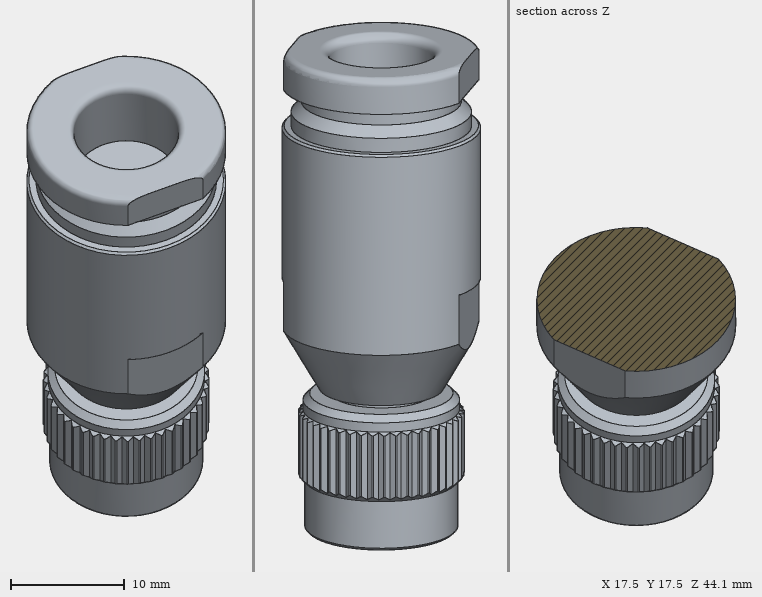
import cadquery as cq
import math

TOTAL_LENGTH = 44.05
SLEEVE_TOP = 4.55
KNURL_TOP = 11.0
COLLAR_TOP = 12.45
CONE_BOTTOM = 13.0
CONE_TOP = 18.65
BODY_FLATS_TOP = 23.15
BODY_TOP = 37.1
STEP_TOP = 38.4
STEP_CONE_TOP = 39.35
CAP_BOTTOM = 40.85

SLEEVE_RADIUS = 6.75
KNURL_RADIUS = 7.3
COLLAR_RADIUS = 6.9
LOWER_NECK_RADIUS = 4.4
BODY_RADIUS = 8.75
STEP_RADIUS = 7.95
UPPER_NECK_RADIUS = 7.05

SLEEVE_CHAMFER = 0.25
COLLAR_CHAMFER = 0.6
BODY_CHAMFER = 0.2
CAP_FILLET = 0.7

CONE_ANGLE = math.radians(30)

ACROSS_FLATS = 15.9

ENTRY_RADIUS = 4.6
ENTRY_FILLET = 0.8
ENTRY_FLOOR = BODY_TOP

KNURL_COUNT = 44
KNURL_DEPTH = 0.33
KNURL_HALF_ANGLE = math.radians(55)
KNURL_SHOULDER_HEIGHT = 0.25


def turned_body():
    """Revolve the complete outer profile around Z."""
    knurl_chamfer = KNURL_RADIUS - SLEEVE_RADIUS
    cone_end_radius = BODY_RADIUS - (CONE_TOP - CONE_BOTTOM) * math.tan(CONE_ANGLE)
    fillet_offset = CAP_FILLET * math.sin(math.radians(45))
    fillet_middle = (
        BODY_RADIUS - CAP_FILLET + fillet_offset,
        TOTAL_LENGTH - CAP_FILLET + fillet_offset,
    )
    profile = (
        cq.Workplane("XZ")
        .lineTo(SLEEVE_RADIUS - SLEEVE_CHAMFER, 0)
        .lineTo(SLEEVE_RADIUS, SLEEVE_CHAMFER)
        .lineTo(SLEEVE_RADIUS, SLEEVE_TOP)
        .lineTo(KNURL_RADIUS, SLEEVE_TOP + knurl_chamfer)
        .lineTo(KNURL_RADIUS, KNURL_TOP - KNURL_SHOULDER_HEIGHT)
        .lineTo(COLLAR_RADIUS, KNURL_TOP)
        .lineTo(COLLAR_RADIUS, COLLAR_TOP - COLLAR_CHAMFER)
        .lineTo(COLLAR_RADIUS - COLLAR_CHAMFER, COLLAR_TOP)
        .lineTo(LOWER_NECK_RADIUS, COLLAR_TOP)
        .lineTo(LOWER_NECK_RADIUS, CONE_BOTTOM)
        .lineTo(cone_end_radius, CONE_BOTTOM)
        .lineTo(BODY_RADIUS, CONE_TOP)
        .lineTo(BODY_RADIUS, BODY_TOP - BODY_CHAMFER)
        .lineTo(BODY_RADIUS - BODY_CHAMFER, BODY_TOP)
        .lineTo(STEP_RADIUS, BODY_TOP)
        .lineTo(STEP_RADIUS, STEP_TOP)
        .lineTo(UPPER_NECK_RADIUS, STEP_CONE_TOP)
        .lineTo(UPPER_NECK_RADIUS, CAP_BOTTOM)
        .lineTo(BODY_RADIUS, CAP_BOTTOM)
        .lineTo(BODY_RADIUS, TOTAL_LENGTH - CAP_FILLET)
        .threePointArc(fillet_middle, (BODY_RADIUS - CAP_FILLET, TOTAL_LENGTH))
        .lineTo(0, TOTAL_LENGTH)
        .close()
    )
    return profile.revolve(360, (0, 0, 0), (0, 1, 0))


def cut_wrench_flats(part, bottom, top):
    """Trim the part to the across-flats width in X between two heights."""
    block_length = 2 * BODY_RADIUS
    for side in (-1, 1):
        block = (
            cq.Workplane("XY", origin=(side * (ACROSS_FLATS + BODY_RADIUS) / 2, 0, bottom))
            .box(BODY_RADIUS, block_length, top - bottom, centered=(True, True, False))
        )
        part = part.cut(block)
    return part


def cut_cable_entry(part):
    """Bore the blind cable entry and round its mouth."""
    mouth_radius = ENTRY_RADIUS + ENTRY_FILLET
    fillet_offset = ENTRY_FILLET * math.sin(math.radians(45))
    fillet_middle = (mouth_radius - fillet_offset, TOTAL_LENGTH - ENTRY_FILLET + fillet_offset)
    entry = (
        cq.Workplane("XZ")
        .moveTo(0, ENTRY_FLOOR)
        .lineTo(ENTRY_RADIUS, ENTRY_FLOOR)
        .lineTo(ENTRY_RADIUS, TOTAL_LENGTH - ENTRY_FILLET)
        .threePointArc(fillet_middle, (mouth_radius, TOTAL_LENGTH))
        .lineTo(0, TOTAL_LENGTH)
        .close()
        .revolve(360, (0, 0, 0), (0, 1, 0))
    )
    return part.cut(entry)


def cut_knurl(part):
    """Cut evenly spaced V grooves, leaving a crest on the X and Y axes."""
    pitch_angle = 360 / KNURL_COUNT
    root_radius = KNURL_RADIUS - KNURL_DEPTH
    cutter_depth = 2 * KNURL_DEPTH
    cutter_half_width = cutter_depth * math.tan(KNURL_HALF_ANGLE)
    groove = (
        cq.Workplane("XY", origin=(0, 0, SLEEVE_TOP))
        .moveTo(root_radius, 0)
        .lineTo(root_radius + cutter_depth, cutter_half_width)
        .lineTo(root_radius + cutter_depth, -cutter_half_width)
        .close()
        .extrude(KNURL_TOP - SLEEVE_TOP)
        .val()
    )
    grooves = [
        groove.rotate((0, 0, 0), (0, 0, 1), (index + 0.5) * pitch_angle)
        for index in range(KNURL_COUNT)
    ]
    knurled = part.cut(cq.Workplane(cq.Compound.makeCompound(grooves)))
    return knurled.solids()


result = turned_body()
result = cut_wrench_flats(result, CAP_BOTTOM, TOTAL_LENGTH)
result = cut_wrench_flats(result, CONE_BOTTOM, BODY_FLATS_TOP)
result = cut_cable_entry(result)
result = cut_knurl(result)